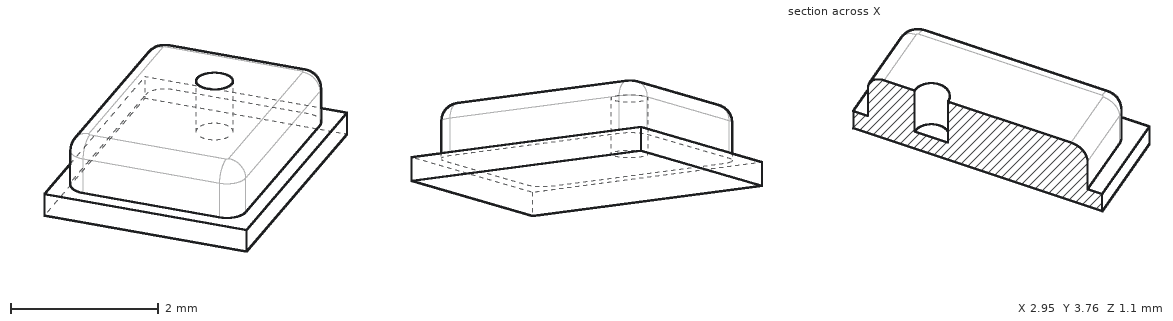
import cadquery as cq

board_width = 2.95
board_length = 3.76
board_thickness = 0.33

total_height = 1.10
lid_width = 2.54
lid_length = 3.32
lid_height = total_height - board_thickness
lid_corner_radius = 0.275
lid_top_radius = 0.25

port_diameter = 0.50
port_offset_y = 0.70
port_depth = lid_height


def make_board():
    return cq.Workplane("XY").box(
        board_width, board_length, board_thickness, centered=(True, True, False)
    )


def make_lid():
    return (
        cq.Workplane("XY")
        .workplane(offset=board_thickness)
        .rect(lid_width, lid_length)
        .extrude(lid_height)
        .edges("|Z")
        .fillet(lid_corner_radius)
        .faces(">Z")
        .edges()
        .fillet(lid_top_radius)
    )


def make_port():
    return (
        cq.Workplane("XY")
        .workplane(offset=total_height - port_depth)
        .center(0, port_offset_y)
        .circle(port_diameter / 2)
        .extrude(port_depth)
    )


result = make_board().union(make_lid()).cut(make_port())